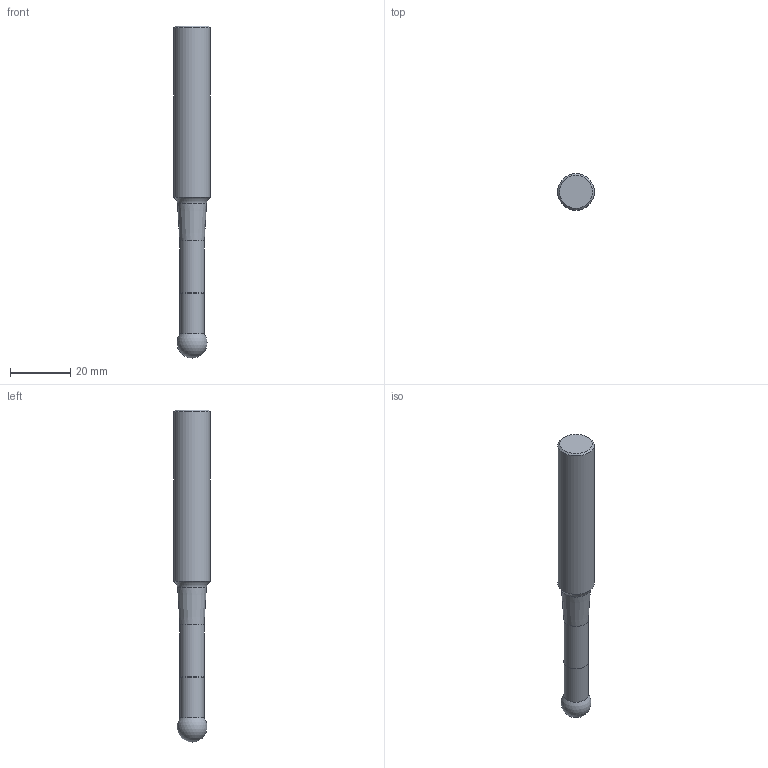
import cadquery as cq
import math

total_length = 110.0

shank_radius = 12.12 / 2
shank_bottom = 53.25
shank_chamfer = 0.6

flare_height = 2.0
flare_radius = 3.0
cone_top = shank_bottom - flare_height
cone_bottom = 38.8
cone_half_angle = math.radians(3.5)

neck_radius = 8.12 / 2
stem_radius = 8.0 / 2
neck_chamfer_height = 0.15
stem_top = 21.5
cone_top_radius = neck_radius + (cone_top - cone_bottom) * math.tan(cone_half_angle)

ball_radius = 10.0 / 2
seat_rim = ball_radius + math.sqrt(ball_radius**2 - stem_radius**2)
ball_top = 2 * ball_radius


def build_holder():
    profile = (
        cq.Workplane("XZ")
        .moveTo(0, ball_top)
        .radiusArc((stem_radius, seat_rim), ball_radius)
        .lineTo(stem_radius, stem_top)
        .lineTo(neck_radius, stem_top + neck_chamfer_height)
        .lineTo(neck_radius, cone_bottom)
        .lineTo(cone_top_radius, cone_top)
        .radiusArc((shank_radius, shank_bottom), flare_radius)
        .lineTo(shank_radius, total_length - shank_chamfer)
        .lineTo(shank_radius - shank_chamfer, total_length)
        .lineTo(0, total_length)
        .close()
    )
    return profile.revolve(360, (0, 0, 0), (0, 1, 0))


def build_ball():
    return cq.Workplane("XY", origin=(0, 0, ball_radius)).sphere(ball_radius)


holder = build_holder()
ball = build_ball()
result = cq.Compound.makeCompound([holder.val(), ball.val()])